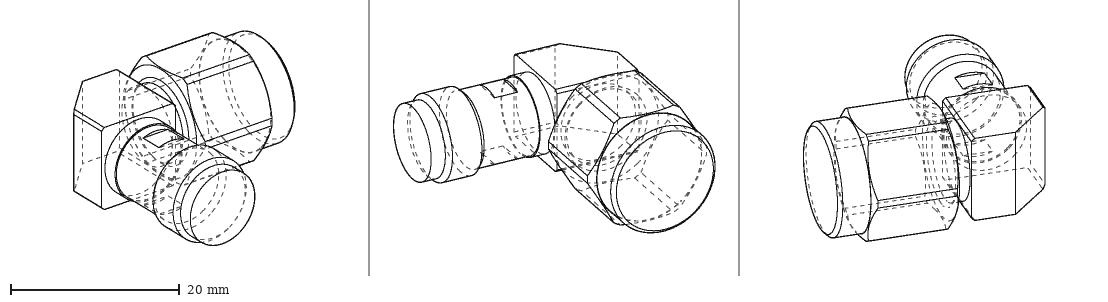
import cadquery as cq
import math


block_width = 11.0
block_half = block_width / 2
block_edge_chamfer = 0.4
pad_radius = 5.0
pad_length = 2.0
neck_cone_length = 0.5
neck_cone_radius = pad_radius + neck_cone_length

barrel_start = block_half + pad_length
barrel_end = 22.0
barrel_radius = 4.82
collar_radius = 5.45
collar_chamfer = collar_radius - barrel_radius
collar_start = 14.9
collar_end = 20.1
flat_start = 8.85
flat_length = 3.1
flat_height = 4.45

nut_start = block_half + pad_length
hex_length = 11.05
hex_end = nut_start + hex_length
nose_length = 4.0
hex_across_flats = 14.33
hex_corner_radius = 8.0
hex_face_radius = 7.05
hex_chamfer_length = (hex_corner_radius - hex_face_radius) * math.tan(math.radians(30))
nose_radius = 7.0
nose_chamfer = 0.5


def revolve_about_y(profile):
    """Turn (radius, y) points about the Y axis."""
    return cq.Workplane("XY").polyline(profile).close().revolve(360, (0, 0, 0), (0, 1, 0))


def revolve_about_x(profile):
    """Turn (x, radius) points about the X axis."""
    return cq.Workplane("XY").polyline(profile).close().revolve(360, (0, 0, 0), (1, 0, 0))


def make_elbow():
    """Block with a cut-off outer corner, a neck towards the nut and a round pad for the barrel."""
    block = cq.Workplane("XY").box(block_width, block_width, block_width)
    block = block.faces("<Y or >Y").edges("|X").chamfer(block_edge_chamfer)
    outer_corner = (
        cq.Workplane("XY")
        .polyline([(-block_half, 0), (-block_half, -block_half), (0, -block_half)])
        .close()
        .extrude(block_half, both=True)
    )
    neck = revolve_about_y([
        (0, 0),
        (pad_radius, 0),
        (pad_radius, nut_start - neck_cone_length),
        (neck_cone_radius, nut_start),
        (0, nut_start),
    ])
    barrel_pad = cq.Workplane("YZ").circle(pad_radius).extrude(barrel_start)
    return block.cut(outer_corner).union(neck).union(barrel_pad)


def make_barrel():
    """Turned barrel with a chamfered collar and two opposite wrench flats."""
    barrel = revolve_about_x([
        (barrel_start, 0),
        (barrel_start, barrel_radius),
        (collar_start, barrel_radius),
        (collar_start + collar_chamfer, collar_radius),
        (collar_end - collar_chamfer, collar_radius),
        (collar_end, barrel_radius),
        (barrel_end, barrel_radius),
        (barrel_end, 0),
    ])
    for side in (-1, 1):
        flat_cutter = (
            cq.Workplane("XY", origin=(flat_start + flat_length / 2, 0, side * flat_height))
            .rect(flat_length, 2 * barrel_radius)
            .extrude(side * barrel_radius)
        )
        barrel = barrel.cut(flat_cutter)
    return barrel


def make_nut():
    """Hexagonal nut with turned corners, chamfered ends and a round nose."""
    corner_distance = hex_across_flats / 2 / math.cos(math.radians(30))
    hex_corners = [
        (corner_distance * math.cos(angle), corner_distance * math.sin(angle))
        for angle in (math.radians(60 * corner) for corner in range(6))
    ]
    hexagon = (
        cq.Workplane("XZ", origin=(0, nut_start, 0))
        .polyline(hex_corners)
        .close()
        .extrude(-hex_length)
    )
    turned_envelope = revolve_about_y([
        (0, nut_start),
        (hex_face_radius, nut_start),
        (hex_corner_radius, nut_start + hex_chamfer_length),
        (hex_corner_radius, hex_end - hex_chamfer_length),
        (hex_face_radius, hex_end),
        (0, hex_end),
    ])
    nose = (
        cq.Workplane("XZ", origin=(0, hex_end, 0))
        .circle(nose_radius)
        .extrude(-nose_length)
        .faces(">Y")
        .chamfer(nose_chamfer)
    )
    return hexagon.intersect(turned_envelope).union(nose)


elbow = make_elbow()
barrel = make_barrel()
nut = make_nut()

result = cq.Compound.makeCompound([elbow.val(), barrel.val(), nut.val()])